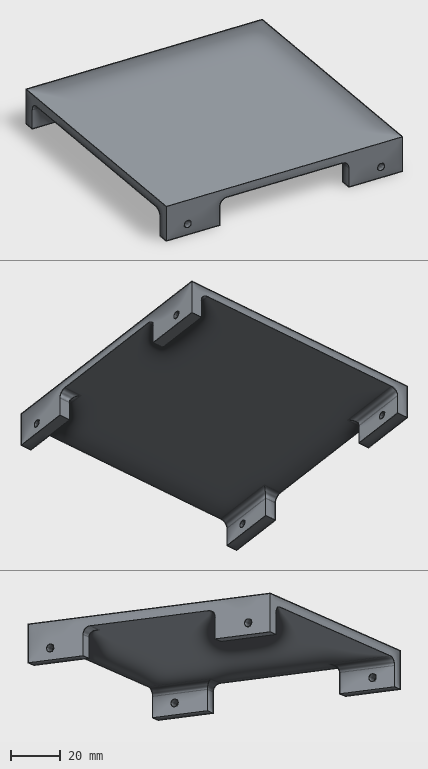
import cadquery as cq

side = 110.0
height = 16.0

plate_thickness = 4.0
leg_thickness = 5.0
leg_width = 25.0
inner_fillet = 3.2

hole_diameter = 3.2
hole_edge_distance = 10.0
hole_height = 5.0

opening_height = height - plate_thickness


def rounded_channel(plane, lengthwise_edges, opening_width):
    """Solid passing through the whole part, open below, with rounded upper corners."""
    return (
        cq.Workplane(plane)
        .rect(opening_width, 2 * opening_height)
        .extrude(side / 2, both=True)
        .faces(">Z")
        .edges(lengthwise_edges)
        .fillet(inner_fillet)
    )


block = cq.Workplane("XY").box(side, side, height, centered=(True, True, False))

channel_along_y = rounded_channel("XZ", "|Y", side - 2 * leg_thickness)
channel_along_x = rounded_channel("YZ", "|X", side - 2 * leg_width)

hole_offset = side / 2 - hole_edge_distance
holes = (
    cq.Workplane("YZ")
    .pushPoints([(-hole_offset, hole_height), (hole_offset, hole_height)])
    .circle(hole_diameter / 2)
    .extrude(side / 2, both=True)
)

result = block.cut(channel_along_y).cut(channel_along_x).cut(holes)